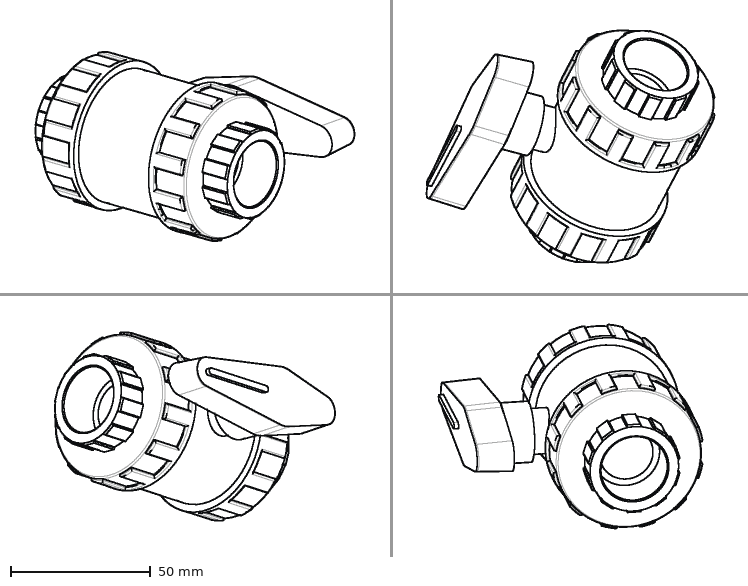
import cadquery as cq
import math


body_diameter = 49.5
body_half_length = 17.3
bore_diameter = 19.3
socket_diameter = 24.15
socket_depth = 16.0
socket_chamfer = 0.45

nut_diameter = 52.8
nut_flange_diameter = 55.0
nut_outer_x = 33.3
nut_flange_width = 2.7
nut_rim_fillet = 0.6
nut_rib_count = 12
nut_rib_first_angle = 15
nut_rib_width = 5.8
nut_rib_outer_x = 32.1
nut_rib_fillet = 0.6

tail_diameter = 32.1
tail_outer_x = 44.5
tail_rib_count = 10
tail_rib_first_angle = 0
tail_rib_height = 0.6
tail_rib_top_width = 4.7
tail_rib_base_width = 5.3
tail_rib_end_slope = 0.7

stem_diameter = 16.5
hub_diameter = 22.0
hub_bottom_y = 30.1
handle_bottom_y = 40.6
handle_top_y = 54.0
handle_top_band = 0.5
handle_flare = 0.6
handle_end_radius = 5.45
handle_left_tip_x = -27.4
handle_right_tip_x = 45.7

pointer_start_x = 9.8
pointer_end_x = 41.1
pointer_width = 2.4
pointer_top_y = 55.65

tolerance = 0.01


def along_pipe(diameter, start_x, end_x):
    """Cylinder on the pipe axis between two X positions."""
    return cq.Workplane("YZ", origin=(start_x, 0, 0)).circle(diameter / 2).extrude(end_x - start_x)


def along_stem(diameter, start_y, end_y):
    """Cylinder on the stem axis between two Y positions."""
    return (
        cq.Workplane("XZ", origin=(0, start_y, 0))
        .circle(diameter / 2)
        .extrude(start_y - end_y)
    )


def turned(points):
    """Revolve an outline of (x, radius) points around the pipe axis."""
    return cq.Workplane("XY").polyline(points).close().revolve(360, (0, 0, 0), (1, 0, 0))


def ring_of(rib, count, first_angle):
    """Copies of a rib that points along +Z, evenly spaced round the pipe axis."""
    ring = cq.Workplane("YZ")
    for index in range(count):
        angle = first_angle + index * 360 / count
        ring = ring.add(rib.rotate((0, 0, 0), (1, 0, 0), angle))
    return ring.combine()


def union_nut():
    """Nut on the +X side: a plain flange with ribs running from it, all with rounded top edges."""
    top_radius = nut_flange_diameter / 2
    flange_x = body_half_length + nut_flange_width
    core = along_pipe(nut_diameter, body_half_length, nut_outer_x).faces(">X").edges().fillet(nut_rim_fillet)
    rib = (
        cq.Workplane("XY")
        .rect(nut_outer_x, nut_rib_width)
        .extrude(nut_flange_diameter)
        .translate((nut_outer_x / 2, 0, 0))
    )
    flange_and_ribs = ring_of(rib, nut_rib_count, nut_rib_first_angle).union(
        along_pipe(2 * nut_flange_diameter, 0, flange_x)
    )
    outer = along_pipe(nut_flange_diameter, body_half_length, nut_rib_outer_x).intersect(flange_and_ribs)
    nut = core.union(outer)
    top_edges = [
        edge for edge in nut.edges().vals()
        if edge.Center().x > flange_x - tolerance
        and all(math.hypot(p.y, p.z) > top_radius - tolerance for p in edge.positions([0, 0.5, 1]))
    ]
    return nut.newObject(top_edges).fillet(nut_rib_fillet)


def tailpiece():
    """Socket end on the +X side, with flat-topped ribs that slope down to its end face."""
    base_radius = tail_diameter / 2
    top_radius = base_radius + tail_rib_height
    core = along_pipe(tail_diameter, body_half_length, tail_outer_x)
    rib_section = [
        (-tail_rib_base_width / 2, 0),
        (-tail_rib_base_width / 2, base_radius),
        (-tail_rib_top_width / 2, top_radius),
        (tail_rib_top_width / 2, top_radius),
        (tail_rib_base_width / 2, base_radius),
        (tail_rib_base_width / 2, 0),
    ]
    rib = (
        cq.Workplane("YZ", origin=(body_half_length, 0, 0))
        .polyline(rib_section)
        .close()
        .extrude(tail_outer_x - body_half_length)
        .faces(">Z").edges(">X")
        .chamfer(tail_rib_height - tolerance, tail_rib_end_slope)
    )
    return core.union(ring_of(rib, tail_rib_count, tail_rib_first_angle))


def socket():
    """Counterbore with a chamfered mouth on the +X side."""
    socket_radius = socket_diameter / 2
    mouth_radius = socket_radius + socket_chamfer
    bottom_x = tail_outer_x - socket_depth
    return turned([
        (bottom_x, 0),
        (bottom_x, socket_radius),
        (tail_outer_x - socket_chamfer, socket_radius),
        (tail_outer_x, mouth_radius),
        (tail_outer_x, 0),
    ])


def polar(radius, degrees):
    """Point at an angle round a circle about the origin."""
    angle = math.radians(degrees)
    return (radius * math.cos(angle), radius * math.sin(angle))


def handle_grip():
    """Lever whose outline wraps the hub circle and two smaller end circles, flared below a top band."""
    hub_radius = hub_diameter / 2
    flare_top_y = handle_top_y - handle_top_band
    flare_height = flare_top_y - handle_bottom_y
    draft_angle = math.degrees(math.atan(handle_flare / flare_height))
    left_centre = handle_left_tip_x + handle_end_radius
    right_centre = handle_right_tip_x - handle_end_radius
    left_lean = math.degrees(math.asin((hub_radius - handle_end_radius) / -left_centre))
    right_lean = math.degrees(math.asin((hub_radius - handle_end_radius) / right_centre))

    def on_circle(centre_x, radius, degrees):
        x, z = polar(radius, degrees)
        return (centre_x + x, z)

    left_angle = 90 + left_lean
    right_angle = 90 - right_lean
    outline = (
        cq.Workplane("XZ", origin=(0, flare_top_y, 0))
        .moveTo(*on_circle(left_centre, handle_end_radius, left_angle))
        .lineTo(*on_circle(0, hub_radius, left_angle))
        .threePointArc((0, hub_radius), on_circle(0, hub_radius, right_angle))
        .lineTo(*on_circle(right_centre, handle_end_radius, right_angle))
        .threePointArc(
            (handle_right_tip_x, 0),
            on_circle(right_centre, handle_end_radius, -right_angle),
        )
        .lineTo(*on_circle(0, hub_radius, -right_angle))
        .threePointArc((0, -hub_radius), on_circle(0, hub_radius, -left_angle))
        .lineTo(*on_circle(left_centre, handle_end_radius, -left_angle))
        .threePointArc(
            (handle_left_tip_x, 0),
            on_circle(left_centre, handle_end_radius, left_angle),
        )
        .close()
    )
    flared = outline.extrude(flare_height, taper=-draft_angle)
    return flared.faces(">Y").wires().toPending().extrude(-handle_top_band)


def pointer_bar():
    """Thin round-ended bar standing on the handle."""
    middle_x = (pointer_start_x + pointer_end_x) / 2
    return (
        cq.Workplane("XZ", origin=(middle_x, handle_top_y, 0))
        .slot2D(pointer_end_x - pointer_start_x, pointer_width)
        .extrude(handle_top_y - pointer_top_y)
    )


body = along_pipe(body_diameter, -body_half_length, body_half_length)
stem = along_stem(stem_diameter, 0, hub_bottom_y)
hub = along_stem(hub_diameter, hub_bottom_y, handle_bottom_y)
bore = along_pipe(bore_diameter, -tail_outer_x, tail_outer_x)
end_fitting = union_nut().union(tailpiece())

result = (
    body.union(end_fitting)
    .union(end_fitting.mirror("YZ"))
    .union(stem)
    .union(hub)
    .union(handle_grip())
    .union(pointer_bar())
    .cut(bore)
    .cut(socket())
    .cut(socket().mirror("YZ"))
)